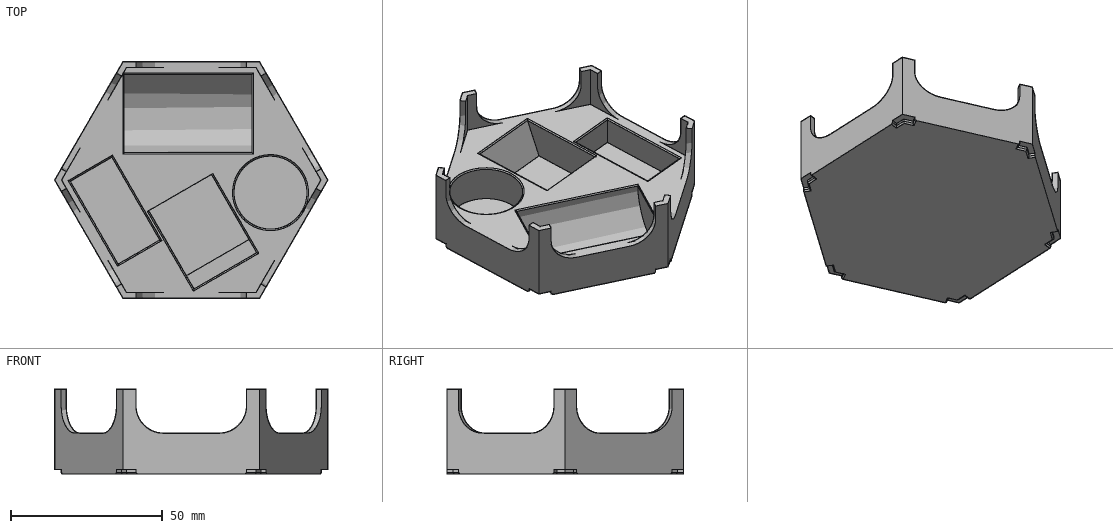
import cadquery as cq
import math

across_corners = 90.0
height = 28.0
deck_height = 13.5
wall = 2.0
post_arm = 4.3
opening_radius = 9.0
side_length = across_corners / 2
inner_across_corners = across_corners - 2 * wall / math.cos(math.radians(30))

notch_depth = 1.4
notch_flare = 0.495

rim_flare = 0.495
rim_drop = 0.315
floor_thickness = 1.0
pocket_turn = -60.0

trough_length = 42.1
trough_width = 25.7
trough_start_flare = 0.3
trough_center = (-1.1, 21.9)

round_diameter = 24.0
round_center = (26.1, -4.1)

narrow_length = 31.5
narrow_width = 15.8
narrow_depth = 9.7
narrow_center = (-25.1, -10.1)

wide_length = 29.8
wide_width = 23.85
wide_ramp = 5.0
wide_center = (3.8, -17.0)

deep_depth = deck_height - floor_thickness


def hexagon(corner_distance, bottom, top):
    return cq.Workplane("XY").workplane(offset=bottom).polygon(6, corner_distance).extrude(top - bottom)


def side_opening(turn):
    """Round-bottomed opening through one side wall, from the deck up."""
    half = side_length / 2 - post_arm
    flat = half - opening_radius
    arc_top = deck_height + opening_radius
    outline = (
        cq.Workplane("XZ")
        .moveTo(-flat, deck_height)
        .lineTo(flat, deck_height)
        .radiusArc((half, arc_top), -opening_radius)
        .lineTo(half, height)
        .lineTo(-half, height)
        .lineTo(-half, arc_top)
        .radiusArc((-flat, deck_height), -opening_radius)
        .close()
        .extrude(across_corners)
    )
    return outline.rotate((0, 0, 0), (0, 0, 1), turn)


def base_body():
    body = hexagon(across_corners, 0, height).cut(hexagon(inner_across_corners, deck_height, height))
    for turn in range(0, 360, 60):
        body = body.cut(side_opening(turn))
    return body


def stacking_notches():
    """Bent notches under the posts, flared at the bottom towards the foot and along the sides."""
    foot = hexagon(inner_across_corners, 0, notch_depth).faces("<Z").chamfer(notch_flare)
    notches = hexagon(across_corners, 0, notch_depth).cut(foot)
    side_middle = (
        cq.Workplane("XY")
        .box(2 * across_corners, side_length - 2 * post_arm, notch_depth, centered=(True, True, False))
        .faces("<Z").chamfer(notch_flare)
    )
    for turn in (30, 90, 150):
        notches = notches.cut(side_middle.rotate((0, 0, 0), (0, 0, 1), turn))
    return notches


def place(pocket, center, turn=0.0):
    """Turn a pocket about its own centre and set its rim level with the deck."""
    return pocket.rotate((0, 0, 0), (0, 0, 1), turn).translate((center[0], center[1], deck_height))


def rectangular_rim(length, width, start_flare):
    """Flared rim of a rectangular pocket; start_flare is its spread at the -X end."""
    rim_length = length + start_flare + rim_flare
    rim_shift = (rim_flare - start_flare) / 2
    return (
        cq.Workplane("XY")
        .center(rim_shift, 0).rect(rim_length, width + 2 * rim_flare)
        .workplane(offset=-rim_drop).center(-rim_shift, 0).rect(length, width)
        .loft(ruled=True)
    )


def trough_pocket():
    half = trough_width / 2
    body = (
        cq.Workplane("YZ", origin=(-trough_length / 2, 0, 0))
        .moveTo(-half, 0)
        .lineTo(-half, -rim_drop)
        .threePointArc((0, -deep_depth), (half, -rim_drop))
        .lineTo(half, 0)
        .close()
        .extrude(trough_length)
    )
    rim = rectangular_rim(trough_length, trough_width, trough_start_flare)
    return place(body.union(rim), trough_center)


def round_pocket():
    radius = round_diameter / 2
    profile = (
        cq.Workplane("XZ")
        .lineTo(radius + rim_flare, 0)
        .lineTo(radius, -rim_drop)
        .lineTo(radius, -deep_depth)
        .lineTo(0, -deep_depth)
        .close()
        .revolve(360, (0, 0, 0), (0, 1, 0))
    )
    return place(profile, round_center)


def narrow_pocket():
    body = cq.Workplane("XY").rect(narrow_length, narrow_width).extrude(-narrow_depth)
    rim = rectangular_rim(narrow_length, narrow_width, rim_flare)
    return place(body.union(rim), narrow_center, pocket_turn)


def wide_pocket():
    """Pocket with a plain upright wall at its -X end and a ramp at its +X end."""
    half = wide_length / 2
    body = (
        cq.Workplane("XZ", origin=(0, wide_width / 2, 0))
        .moveTo(-half, 0)
        .lineTo(half, 0)
        .lineTo(half, -rim_drop)
        .lineTo(half - wide_ramp, -deep_depth)
        .lineTo(-half, -deep_depth)
        .close()
        .extrude(wide_width)
    )
    rim = rectangular_rim(wide_length, wide_width, 0)
    return place(body.union(rim), wide_center, pocket_turn)


result = base_body().cut(stacking_notches())
for pocket in (trough_pocket(), round_pocket(), narrow_pocket(), wide_pocket()):
    result = result.cut(pocket)